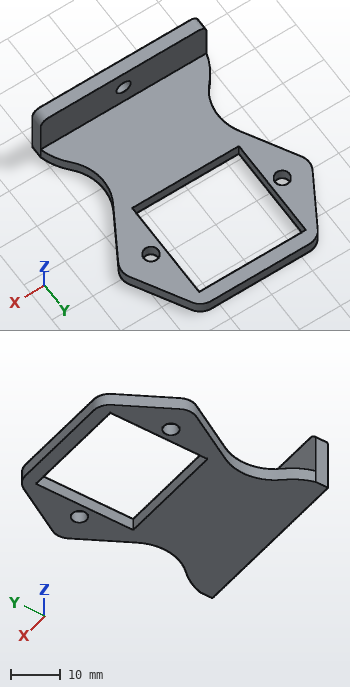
import cadquery as cq
import math

length = 52.0
width = 45.75
height = 13.5
thickness = 3.0

hole_line_y = 36.0
head_corner_radius = 4.0
side_angle = math.radians(60)

opening_center_x = -0.25

window_width = 26.0
window_bottom = 24.85
window_top = 48.85

hole_diameter = 3.5
head_hole_x = 16.0
flange_hole_z = 8.4

neck_start_y = 21.95
neck_radius = 10.95
neck_end_y = 8.95

flange_width = 40.5
flange_corner_radius = 2.05

rounding_loss = head_corner_radius * (1 / math.sin(side_angle) - 1)
head_tip_x = width / 2 + rounding_loss
head_half_length = length - hole_line_y
head_top_x = head_tip_x - head_half_length / math.tan(side_angle)

neck_start_x = head_tip_x - (hole_line_y - neck_start_y) / math.tan(side_angle)
neck_center_x = neck_start_x + neck_radius * math.sin(side_angle)
neck_center_y = neck_start_y - neck_radius * math.cos(side_angle)
neck_waist_x = neck_center_x - neck_radius
neck_end_x = neck_center_x - math.sqrt(neck_radius**2 - (neck_center_y - neck_end_y) ** 2)


def make_half_plate():
    """The +X half of the flat plate, with its head corners rounded."""
    half = (
        cq.Workplane("XY")
        .moveTo(0, length)
        .lineTo(head_top_x, length)
        .lineTo(head_tip_x, hole_line_y)
        .lineTo(neck_start_x, neck_start_y)
        .threePointArc((neck_waist_x, neck_center_y), (neck_end_x, neck_end_y))
        .tangentArcPoint((flange_width / 2, thickness), relative=False)
        .lineTo(flange_width / 2, 0)
        .lineTo(0, 0)
        .close()
        .extrude(thickness)
    )
    for corner in [(head_top_x, length), (head_tip_x, hole_line_y)]:
        half = half.edges(cq.NearestToPointSelector((*corner, thickness / 2))).fillet(head_corner_radius)
    return half


def make_plate():
    half = make_half_plate()
    plate = half.union(half.mirror("YZ"))
    window = (
        cq.Workplane("XY")
        .center(opening_center_x, (window_bottom + window_top) / 2)
        .rect(window_width, window_top - window_bottom)
        .extrude(thickness)
    )
    holes = (
        cq.Workplane("XY")
        .center(opening_center_x, hole_line_y)
        .pushPoints([(-head_hole_x, 0), (head_hole_x, 0)])
        .circle(hole_diameter / 2)
        .extrude(thickness)
    )
    return plate.cut(window).cut(holes)


def make_flange():
    flange = (
        cq.Workplane("XY")
        .box(flange_width, thickness, height, centered=(True, False, False))
        .edges("|Y and >Z")
        .fillet(flange_corner_radius)
    )
    hole = (
        cq.Workplane("XZ")
        .center(0, flange_hole_z)
        .circle(hole_diameter / 2)
        .extrude(-thickness)
    )
    return flange.cut(hole)


result = make_plate().union(make_flange()).clean()